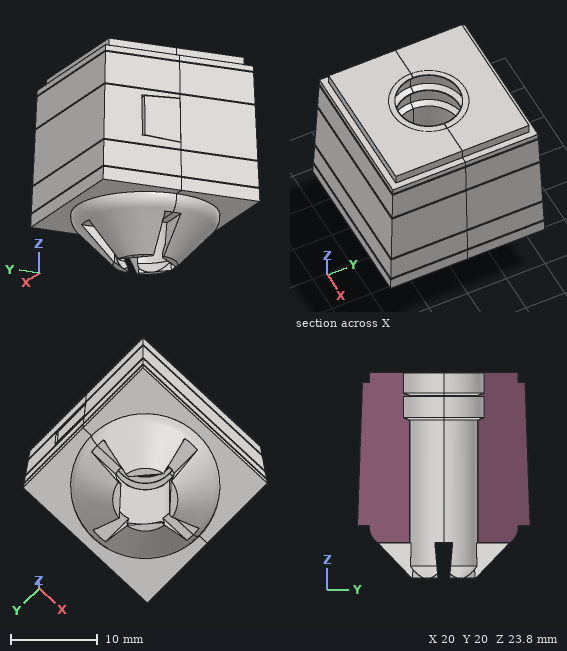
import cadquery as cq
import math

TOTAL_HEIGHT = 23.8
BLOCK_BOTTOM = 6.07
BLOCK_TOP = 22.63

BLOCK_WIDTH = 19.97
BLOCK_DRAFT = 2.0
LIP_WIDTH = 17.23

OUTER_WIDTH = 20.0
BEAD_UNDERSIDES = [7.66, 10.97, 17.83, 21.82]
BEAD_THICKNESS = 0.12

NOSE_RADIUS = LIP_WIDTH / 2
RIM_HEIGHT = 0.2
SHOULDER_RADIUS = 2.07
SHOULDER_ANGLE = 44.0
TIP_RADIUS = 3.75

SLOT_HEIGHT = 4.1
SLOT_TOP_WIDTH = 2.0
SLOT_TIP_WIDTH = 1.29

BORE_RADIUS = 3.9
CHAMBER_RADIUS = 4.65
EDGE_THICKNESS = 0.12
EDGE_DEPTHS = [0, 2.7]
CHAMBER_DEPTHS = [2.38, 5.24]
FLOOR_DROP = 0.3

FUNNEL_HEIGHT = 1.4
FUNNEL_TIP_RADIUS = 2.9
OPENING_HALF_X = 3.85
OPENING_HALF_Y = 4.38

SOCKET_LENGTH = 4.88
SOCKET_SEAM_HEIGHT = 5.43
SOCKET_END_HEIGHT = 4.9
SOCKET_MIDDLE = 14.65
SOCKET_FLOOR_X = -8.33
TONGUE_END_GAP = 0.35
TONGUE_SIDE_GAP = 0.05
TONGUE_SET_BACK = 0.02

SPAN = 2 * OUTER_WIDTH


def block_width_at(z):
    return BLOCK_WIDTH - 2 * (z - BLOCK_BOTTOM) * math.tan(math.radians(BLOCK_DRAFT))


def square_frustum(bottom, bottom_width, top, top_width):
    return (
        cq.Workplane("XY", origin=(0, 0, bottom))
        .rect(bottom_width, bottom_width)
        .workplane(offset=top - bottom)
        .rect(top_width, top_width)
        .loft(ruled=True)
    )


def drafted_block():
    return square_frustum(BLOCK_BOTTOM, BLOCK_WIDTH, BLOCK_TOP, block_width_at(BLOCK_TOP))


def lip():
    return (
        cq.Workplane("XY", origin=(0, 0, BLOCK_TOP))
        .rect(LIP_WIDTH, LIP_WIDTH)
        .extrude(TOTAL_HEIGHT - BLOCK_TOP)
    )


def bead(underside):
    growth = OUTER_WIDTH - block_width_at(BEAD_UNDERSIDES[0])
    top = underside + BEAD_THICKNESS
    return square_frustum(underside, block_width_at(underside) + growth, top, block_width_at(top))


def nose():
    rim_bottom = BLOCK_BOTTOM - RIM_HEIGHT

    def shoulder_point(degrees):
        angle = math.radians(degrees)
        inset = SHOULDER_RADIUS * (1 - math.cos(angle))
        return NOSE_RADIUS - inset, rim_bottom - SHOULDER_RADIUS * math.sin(angle)

    return (
        cq.Workplane("XZ")
        .lineTo(TIP_RADIUS, 0)
        .lineTo(*shoulder_point(SHOULDER_ANGLE))
        .threePointArc(shoulder_point(SHOULDER_ANGLE / 2), (NOSE_RADIUS, rim_bottom))
        .lineTo(NOSE_RADIUS, BLOCK_BOTTOM)
        .lineTo(0, BLOCK_BOTTOM)
        .close()
        .revolve()
    )


def finger_slot(plane):
    half_tip = SLOT_TIP_WIDTH / 2
    half_top = SLOT_TOP_WIDTH / 2
    outline = [(-half_tip, 0), (half_tip, 0), (half_top, SLOT_HEIGHT), (-half_top, SLOT_HEIGHT)]
    return cq.Workplane(plane).polyline(outline).close().extrude(SPAN / 2, both=True)


def chambered_bore():
    profile = [(0, TOTAL_HEIGHT)]
    for edge_depth, chamber_depth in zip(EDGE_DEPTHS, CHAMBER_DEPTHS):
        edge_top = TOTAL_HEIGHT - edge_depth
        edge_underside = edge_top - EDGE_THICKNESS
        profile.append((BORE_RADIUS, edge_top))
        profile.append((BORE_RADIUS, edge_underside))
        profile.append((CHAMBER_RADIUS, edge_underside))
        profile.append((CHAMBER_RADIUS, TOTAL_HEIGHT - chamber_depth))
    profile.append((BORE_RADIUS, TOTAL_HEIGHT - CHAMBER_DEPTHS[-1] - FLOOR_DROP))
    profile += [(BORE_RADIUS, FUNNEL_HEIGHT), (FUNNEL_TIP_RADIUS, 0), (0, 0)]
    return cq.Workplane("XZ").polyline(profile).close().revolve()


def diamond_opening():
    corners = [(OPENING_HALF_X, 0), (0, OPENING_HALF_Y), (-OPENING_HALF_X, 0), (0, -OPENING_HALF_Y)]
    return cq.Workplane("XY").polyline(corners).close().extrude(FUNNEL_HEIGHT)


def tongue_prism(length, side_gap):
    half_seam = SOCKET_SEAM_HEIGHT / 2 - side_gap
    half_end = SOCKET_END_HEIGHT / 2 - side_gap
    outline = [(0, -half_seam), (length, -half_end), (length, half_end), (0, half_seam)]
    return (
        cq.Workplane("YZ", origin=(SOCKET_FLOOR_X, 0, SOCKET_MIDDLE))
        .polyline(outline)
        .close()
        .extrude(-SPAN)
    )


def tongue():
    prism = tongue_prism(SOCKET_LENGTH - TONGUE_END_GAP, TONGUE_SIDE_GAP)
    return prism.intersect(drafted_block().translate((TONGUE_SET_BACK, 0, 0)))


def whole_insert():
    body = drafted_block().union(lip()).union(nose())
    for underside in BEAD_UNDERSIDES:
        body = body.union(bead(underside))
    body = body.cut(chambered_bore()).cut(diamond_opening())
    return body.cut(finger_slot("XZ")).cut(finger_slot("YZ"))


def back_space():
    return cq.Workplane("XY").box(SPAN, SPAN, SPAN, centered=(True, False, False))


def front_half():
    return whole_insert().cut(back_space()).union(tongue())


def back_half():
    return whole_insert().intersect(back_space()).cut(tongue_prism(SOCKET_LENGTH, 0))


result = cq.Compound.makeCompound([front_half().val(), back_half().val()])